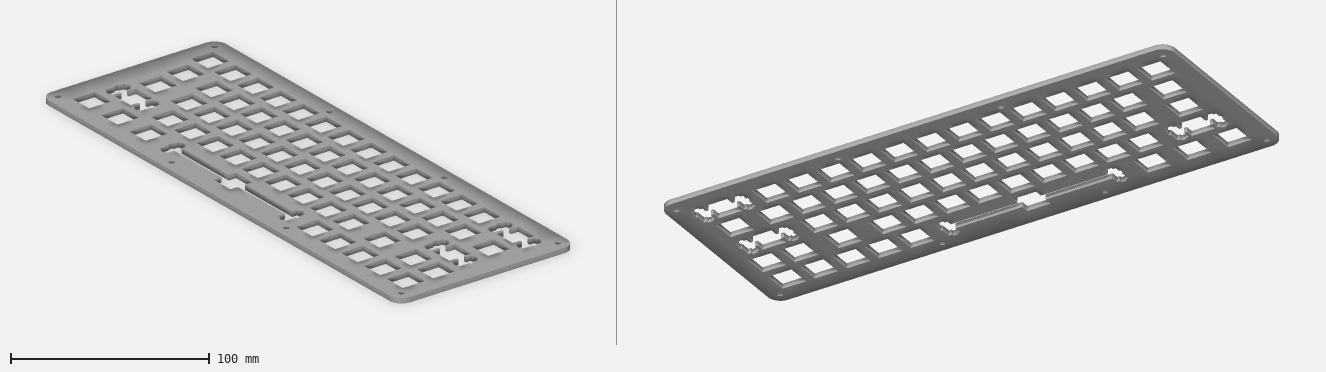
import cadquery as cq

LENGTH = 301.8
DEPTH = 111.3
THICKNESS = 3.0
CORNER_RADIUS = 7.2

UNITS_LONG = 15
ROW_COUNT = 5
PITCH = (LENGTH - DEPTH) / (UNITS_LONG - ROW_COUNT)
MARGIN = (LENGTH - UNITS_LONG * PITCH) / 2
SWITCH_SIZE = 14.0

BACKSPACE_KEY = 2
SPACE_KEY = 6.25

KEY_ROWS = [
    [1] * 13 + [BACKSPACE_KEY],
    [1.5] + [1] * 12 + [1.5],
    [1.75] + [1] * 11 + [2.25],
    [2.25] + [1] * 9 + [1.75, 1, 1],
    [1.25] * 3 + [SPACE_KEY] + [1] * 5,
]

STABILIZER_SPACING = 23.8
SPACE_STABILIZER_SPACING = 100.0
STABILIZER_WIDTH = 6.5
STABILIZER_BACK = 5.5
STABILIZER_FRONT = 6.5
NOTCH_WIDTH = 3.3
NOTCH_BACK = 6.5
NOTCH_FRONT = 7.8
CLIP_REACH = 4.2
CLIP_FRONT = 0.5
WIRE_HALF_WIDTH = 2.3

SCREW_DIAMETER = 3.3
CORNER_SCREW_SPANS = (288.8, 98.5)
MIDDLE_SCREW_SPANS = (96.5, 99.0)


def cutter(x_min, x_max, y_min, y_max):
    """Rectangular block through the full plate thickness."""
    block = cq.Workplane("XY").box(x_max - x_min, y_max - y_min, THICKNESS, centered=False)
    return block.translate((x_min, y_min, 0))


def stabilizer_cutter(spacing):
    """Both stabilizer cutouts of a key centred on the origin, joined by the wire slot.

    A shallow clip recess widens the outer edge of each cutout.
    """
    offset = spacing / 2
    half_width = STABILIZER_WIDTH / 2
    half_notch = NOTCH_WIDTH / 2
    cut = cutter(-offset, offset, -WIRE_HALF_WIDTH, WIRE_HALF_WIDTH)
    clip_end = offset + CLIP_REACH
    cut = cut.union(cutter(-clip_end, clip_end, -CLIP_FRONT, WIRE_HALF_WIDTH))
    for x in (-offset, offset):
        cut = cut.union(cutter(x - half_width, x + half_width, -STABILIZER_FRONT, STABILIZER_BACK))
        cut = cut.union(cutter(x - half_notch, x + half_notch, -NOTCH_FRONT, NOTCH_BACK))
    return cut


def key_centres():
    """Yield the x, y and width in key units of every key."""
    for row, widths in enumerate(KEY_ROWS):
        y = DEPTH / 2 - MARGIN - (row + 0.5) * PITCH
        left = MARGIN - LENGTH / 2
        for width in widths:
            yield left + width * PITCH / 2, y, width
            left += width * PITCH


keys = list(key_centres())

plate = cq.Workplane("XY").rect(LENGTH, DEPTH).extrude(THICKNESS)
plate = plate.edges("|Z").fillet(CORNER_RADIUS)

switch_points = [(x, y) for x, y, width in keys]
switches = cq.Workplane("XY").pushPoints(switch_points).rect(SWITCH_SIZE, SWITCH_SIZE).extrude(THICKNESS)
plate = plate.cut(switches)

for x, y, width in keys:
    if width >= BACKSPACE_KEY:
        spacing = SPACE_STABILIZER_SPACING if width == SPACE_KEY else STABILIZER_SPACING
        plate = plate.cut(stabilizer_cutter(spacing).translate((x, y, 0)))

for span_x, span_y in (CORNER_SCREW_SPANS, MIDDLE_SCREW_SPANS):
    corners = cq.Workplane("XY").rect(span_x, span_y, forConstruction=True).vertices()
    plate = plate.cut(corners.circle(SCREW_DIAMETER / 2).extrude(THICKNESS))

result = plate